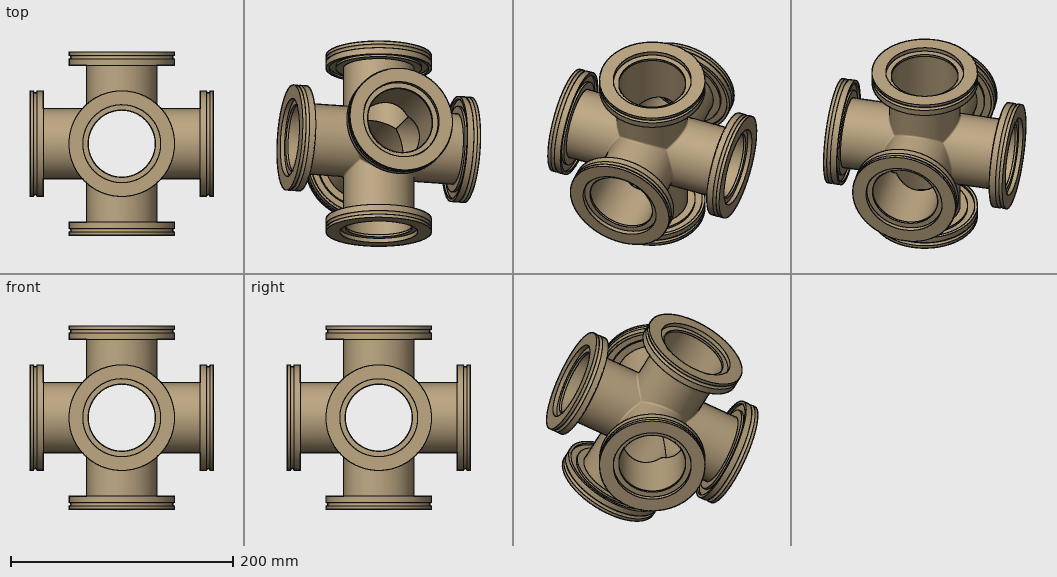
import cadquery as cq

overall_length = 165.0
half_length = overall_length / 2

tube_od = 63.5
bore_diameter = 60.2
seam_fillet = 1.5

flange_od = 95.0
flange_thickness = 12.0
seal_recess_diameter = 70.1
seal_recess_depth = 4.0
tube_stop_thickness = 2.0
socket_diameter = 63.9

rim_groove_radius = 1.6
rim_groove_offset = 4.6

back_groove_inner_diameter = 77.2
back_groove_outer_diameter = 90.0
back_groove_depth = 2.0

tube_end = half_length - seal_recess_depth - tube_stop_thickness
flange_back = half_length - flange_thickness
rim_groove_height = half_length - rim_groove_offset

X_AXIS = (1, 0, 0)
Y_AXIS = (0, 1, 0)
PORT_TURNS = [
    *[(X_AXIS, angle) for angle in (0, 90, 180, 270)],
    *[(Y_AXIS, angle) for angle in (90, 270)],
]


def three_way_cylinders(diameter, length):
    """Three equal cylinders, centred on the origin along X, Y and Z, as one solid."""
    cross = cq.Workplane("XY").circle(diameter / 2).extrude(length / 2, both=True)
    for plane in ("YZ", "XZ"):
        cross = cross.union(cq.Workplane(plane).circle(diameter / 2).extrude(length / 2, both=True))
    return cross


def is_seam(edge):
    """True for a curve where two tubes meet: neither a straight edge nor a round tube end."""
    return edge.geomType() not in ("CIRCLE", "LINE")


def make_tube_cross():
    """Six tubes from a common centre, with filleted outer seams and through bores."""
    outside = three_way_cylinders(tube_od, 2 * tube_end)
    seams = [edge for edge in outside.edges().vals() if is_seam(edge)]
    outside = outside.newObject(seams).fillet(seam_fillet)
    return outside.cut(three_way_cylinders(bore_diameter, 2 * tube_end))


def make_flange():
    """Flange on the +Z end: front recess, stepped bore for the tube, rim groove and back groove."""
    flange = (
        cq.Workplane("XY", origin=(0, 0, flange_back))
        .circle(flange_od / 2)
        .circle(bore_diameter / 2)
        .extrude(flange_thickness)
    )
    seal_recess = (
        cq.Workplane("XY", origin=(0, 0, half_length))
        .circle(seal_recess_diameter / 2)
        .extrude(-seal_recess_depth)
    )
    tube_socket = (
        cq.Workplane("XY", origin=(0, 0, flange_back))
        .circle(socket_diameter / 2)
        .extrude(tube_end - flange_back)
    )
    back_groove = (
        cq.Workplane("XY", origin=(0, 0, flange_back))
        .circle(back_groove_outer_diameter / 2)
        .circle(back_groove_inner_diameter / 2)
        .extrude(back_groove_depth)
    )
    rim_groove = cq.Workplane(
        cq.Solid.makeTorus(flange_od / 2, rim_groove_radius, cq.Vector(0, 0, rim_groove_height))
    )
    return flange.cut(seal_recess).cut(tube_socket).cut(back_groove).cut(rim_groove)


tube_cross = make_tube_cross()
end_flange = make_flange()
flanges = [
    end_flange.rotate((0, 0, 0), axis, angle).val()
    for axis, angle in PORT_TURNS
]

result = cq.Compound.makeCompound([tube_cross.val(), *flanges])